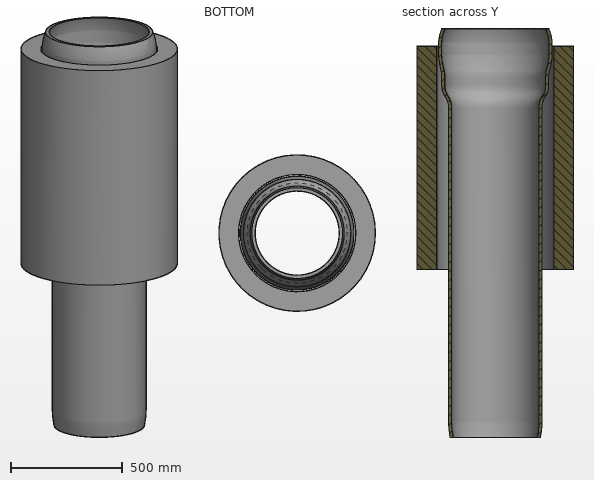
import cadquery as cq
import math

pipe_length = 1830.0
pipe_outer_diameter = 420.0
pipe_bore_diameter = 390.0
wall = (pipe_outer_diameter - pipe_bore_diameter) / 2

tip_outer_diameter = 406.0
tip_height = 70.0

rim_outer_diameter = 480.0
groove_bore_diameter = 480.0
seat_bore_diameter = 450.0
groove_top_depth = 64.0
groove_bottom_depth = 119.0
seat_top_depth = 216.0
seat_bottom_depth = 256.0
shoulder_bottom_depth = 351.0
groove_bend_split = 0.4
shoulder_bend_split = 0.5

sleeve_outer_diameter = 700.0
sleeve_bore_diameter = 523.0
sleeve_bottom = 752.0
sleeve_top = 1751.0


def bend(profile, upright_end, sloped_end, rising):
    """Add an arc that is vertical at upright_end; rising arcs begin at that end."""
    inset = sloped_end[0] - upright_end[0]
    rise = sloped_end[1] - upright_end[1]
    half_turn = math.atan2(abs(inset), abs(rise))
    radius = (inset**2 + rise**2) / (2 * abs(inset))
    middle = (
        upright_end[0] + math.copysign(radius * (1 - math.cos(half_turn)), inset),
        upright_end[1] + math.copysign(radius * math.sin(half_turn), rise),
    )
    return profile.threePointArc(middle, sloped_end if rising else upright_end)


def widening(profile, lower, upper, split):
    """Add an S-bend, vertical at both ends, from lower up to upper."""
    inflection = (
        lower[0] + split * (upper[0] - lower[0]),
        lower[1] + split * (upper[1] - lower[1]),
    )
    profile = bend(profile, lower, inflection, rising=True)
    return bend(profile, upper, inflection, rising=False)


def pipe_core(offset):
    """Solid of revolution bounded by the pipe bore, enlarged radially by offset."""
    tip_radius = tip_outer_diameter / 2 - wall + offset
    barrel_radius = pipe_bore_diameter / 2 + offset
    seat_radius = seat_bore_diameter / 2 + offset
    groove_radius = groove_bore_diameter / 2 + offset
    rim_radius = rim_outer_diameter / 2 - wall + offset

    tip_end = (tip_radius, 0)
    barrel_bottom = (barrel_radius, tip_height)
    barrel_top = (barrel_radius, pipe_length - shoulder_bottom_depth)
    seat_bottom = (seat_radius, pipe_length - seat_bottom_depth)
    seat_top = (seat_radius, pipe_length - seat_top_depth)
    groove_bottom = (groove_radius, pipe_length - groove_bottom_depth)
    groove_top = (groove_radius, pipe_length - groove_top_depth)
    rim = (rim_radius, pipe_length)

    profile = cq.Workplane("XZ").lineTo(*tip_end)
    profile = bend(profile, barrel_bottom, tip_end, rising=False).lineTo(*barrel_top)
    profile = widening(profile, barrel_top, seat_bottom, shoulder_bend_split).lineTo(*seat_top)
    profile = widening(profile, seat_top, groove_bottom, groove_bend_split).lineTo(*groove_top)
    profile = bend(profile, groove_top, rim, rising=True).lineTo(0, pipe_length)
    return profile.close().revolve(360, (0, 0, 0), (0, 1, 0))


def make_pipe():
    """Socket-and-spigot pipe with a constant radial wall."""
    return pipe_core(wall).cut(pipe_core(0)).solids()


def make_sleeve():
    """Plain thick sleeve that clears the socket all round."""
    return (
        cq.Workplane("XY")
        .workplane(offset=sleeve_bottom)
        .circle(sleeve_outer_diameter / 2)
        .circle(sleeve_bore_diameter / 2)
        .extrude(sleeve_top - sleeve_bottom)
    )


pipe = make_pipe()
sleeve = make_sleeve()
result = cq.Compound.makeCompound([pipe.val(), sleeve.val()])